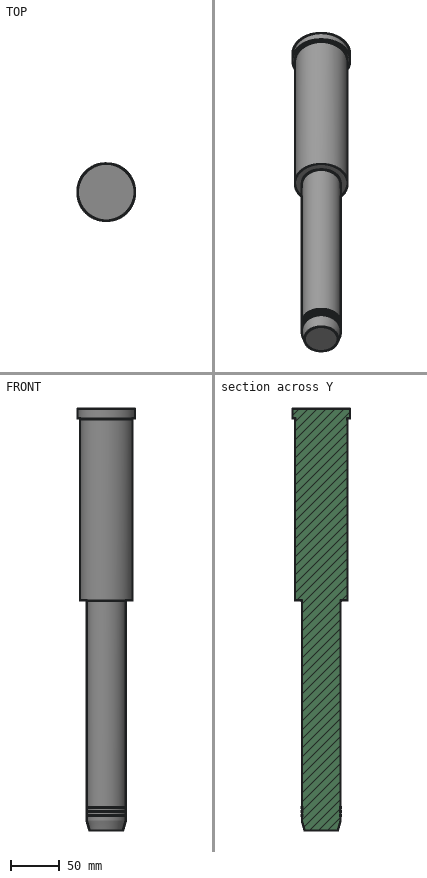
import cadquery as cq

total_length = 431.0
head_height = 10.0
sleeve_length = 185.75
nose_height = 10.0
sleeve_top = total_length - head_height
sleeve_bottom = sleeve_top - sleeve_length

head_radius = 59.0 / 2
sleeve_radius = 54.0 / 2
pin_radius = 40.0 / 2
tip_radius = 34.4 / 2

head_chamfer = 0.5
tip_chamfer = 0.3

relief_width = 1.0
relief_depth = 0.3

groove_count = 3
groove_width = 1.0
groove_depth = 0.5
groove_pitch = 4.0
lowest_groove_center = 15.5


def make_body():
    """Head, sleeve and pin with a tapered nose, revolved from half of the section."""
    half_profile = (
        cq.Workplane("XZ")
        .lineTo(tip_radius - tip_chamfer, 0)
        .lineTo(tip_radius, tip_chamfer)
        .lineTo(pin_radius, nose_height)
        .lineTo(pin_radius, sleeve_bottom)
        .lineTo(sleeve_radius, sleeve_bottom)
        .lineTo(sleeve_radius, sleeve_top)
        .lineTo(head_radius, sleeve_top)
        .lineTo(head_radius, total_length - head_chamfer)
        .lineTo(head_radius - head_chamfer, total_length)
        .lineTo(0, total_length)
        .close()
    )
    return half_profile.revolve(360, (0, 0, 0), (0, 1, 0))


def ring_cutter(surface_radius, bottom, width, depth):
    """Ring that cuts a groove into a round surface, from the height `bottom` upward."""
    return (
        cq.Workplane("XY")
        .workplane(offset=bottom)
        .circle(surface_radius + depth)
        .circle(surface_radius - depth)
        .extrude(width)
    )


def cut_corner_reliefs(body):
    """Neck the sleeve directly under the head, and the pin directly under the sleeve."""
    for radius, shoulder in ((sleeve_radius, sleeve_top), (pin_radius, sleeve_bottom)):
        body = body.cut(ring_cutter(radius, shoulder - relief_width, relief_width, relief_depth))
    return body


def cut_pin_grooves(body):
    """Cut the evenly spaced grooves near the nose of the pin."""
    lowest_bottom = lowest_groove_center - groove_width / 2
    for index in range(groove_count):
        bottom = lowest_bottom + index * groove_pitch
        body = body.cut(ring_cutter(pin_radius, bottom, groove_width, groove_depth))
    return body


result = cut_pin_grooves(cut_corner_reliefs(make_body()))